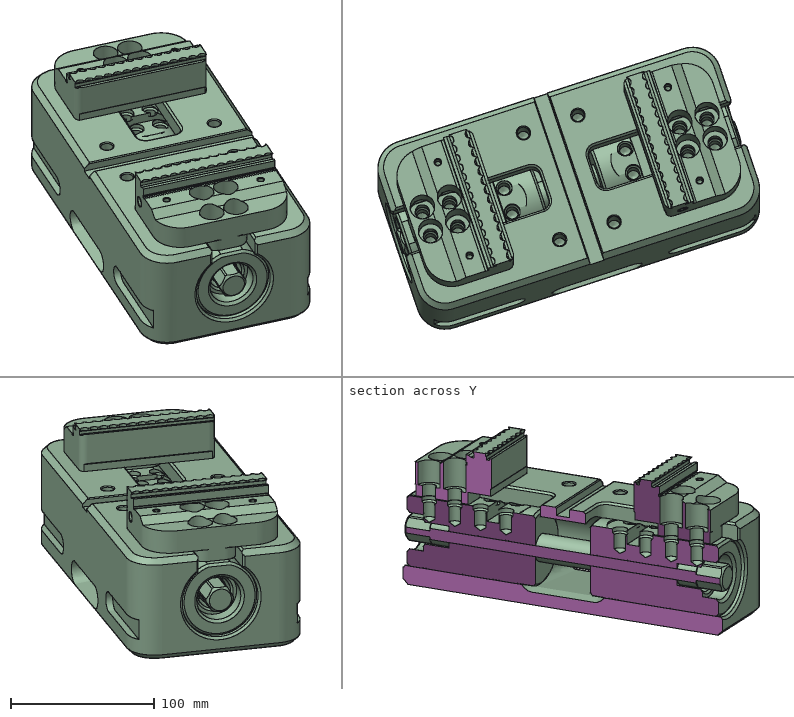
import cadquery as cq
import math


BASE_LENGTH = 250.0
BASE_WIDTH = 125.0
BASE_HEIGHT = 75.0
BASE_CORNER_RADIUS = 20.0
BASE_CHAMFER = 4.0
CENTRE_GROOVE_WIDTH = 10.0
CENTRE_GROOVE_DEPTH = 6.0
CENTRE_GROOVE_CHAMFER = 0.8
GUIDE_SLOT_WIDTH = 32.0
GUIDE_SLOT_INNER_END = 17.8
GUIDE_SLOT_CORNER_RADIUS = 6.5
GUIDE_SLOT_CHAMFER = 1.5
BORE_CHAMFER = 1.8
SIDE_SLOT_HEIGHT = 14.5
SIDE_SLOT_DEPTH = 5.0
SIDE_SLOT_Z = 21.8
SIDE_SLOT_INNER_END = 52.8
CHIP_SLOT_LENGTH = 66.0
CHIP_SLOT_HEIGHT = 17.0
CHIP_SLOT_Z = 12.8
CHIP_SLOT_RISE = 6.2
FIXTURE_HOLE_X = 20.0
FIXTURE_HOLE_Y = 40.0

TAP_DIAMETER = 8.5
TAP_MOUTH_DIAMETER = 10.0
TAP_DEPTH = 15.0
SMALL_TAP_DIAMETER = 4.2
SMALL_TAP_MOUTH_DIAMETER = 5.2
SMALL_TAP_DEPTH = 7.5
SIDE_TAP_DIAMETER = 6.8
SIDE_TAP_MOUTH_DIAMETER = 7.5
SIDE_TAP_DEPTH = 12.5
DRILL_POINT_ANGLE = 118.0

AXIS_Z = 40.0
SLIDE_RADIUS = 27.5
SLIDE_INNER_END = 21.2
SLIDE_OUTER_END = 121.8
SLIDE_CHAMFER = 1.8
SLIDE_FLAT_Z = 66.2
SLIDE_FLAT_INNER_END = 31.8
CROSS_GROOVE_X = 54.8
CROSS_GROOVE_WIDTH = 9.0
CROSS_GROOVE_DEPTH = 10.0
DRIVE_RECESS_DIAMETER = 32.0
DRIVE_RECESS_DEPTH = 12.5
DRIVE_RECESS_CHAMFER = 2.0
SPINDLE_CLEARANCE_DIAMETER = 24.0
SPINDLE_CLEARANCE_DEPTH = 20.0
SPINDLE_CLEARANCE_CHAMFER = 1.5

BOLT_PITCH_X = 20.0
BOLT_PITCH_Y = 18.0
FIRST_BOLT_X = 44.5
BOLT_SEAT_DIAMETER = 11.0
BOLT_SEAT_DEPTH = 3.0
SLIDE_BOLT_ROWS = 4
JAW_BOLT_ROWS = 2

JAW_WIDTH = 98.0
JAW_TOP_Z = 106.0
JAW_FRONT_X = 55.5
JAW_BACK_X = 115.5
JAW_BACK_RADIUS = 20.0
JAW_FRONT_RADIUS = 5.0
JAW_FOOT_RELIEF = 0.8
JAW_FOOT_Z = 81.0
JAW_STEP_Z = 102.8
JAW_SHELF_Z = 96.0
JAW_BACK_Z = 91.5
RAMP_TOP_X = 91.8
RAMP_BOTTOM_X = 98.8
STEP_BACK_X = 75.8
SHELF_RELIEF = 0.8
SHELF_RELIEF_BACK_X = 77.5
GRIP_FRONT_X = 58.8
GRIP_BACK_X = 71.5
GRIP_GROOVE_Z = 101.5
GRIP_NECK_Z = 104.0
GRIP_FRONT_UNDERCUT = 0.8
GRIP_BACK_UNDERCUT = 2.0
GRIP_FRONT_GROOVE_WIDTH = 2.0
GRIP_BACK_GROOVE_WIDTH = 4.0
NOTCH_COUNT = 14
NOTCH_DIAMETER = 6.0
NOTCH_DEPTH = 2.0
KEY_CORNER_RADIUS = 9.8
BOLT_HOLE_DIAMETER = 10.0
COUNTERBORE_DIAMETER = 17.0
COUNTERBORE_FLOOR_Z = 75.0
JAW_SMALL_TAP_Y = 35.0
SIDE_TAP_X = 67.5
SIDE_TAP_Z = 86.5

SPINDLE_DIAMETER = 20.0
SPINDLE_END_X = 124.0
HEX_ACROSS_FLATS = 18.0
HEX_LENGTH = 20.0
HEX_TIP_DIAMETER = 16.0
HEX_TIP_CHAMFER = 2.0

SIDES = (1, -1)


def tapped_hole(diameter, mouth_diameter, depth):
    """Cutter for a countersunk blind hole with a drill point, going down from the origin."""
    radius = diameter / 2
    mouth_radius = mouth_diameter / 2
    mouth_depth = mouth_radius - radius
    point_length = radius / math.tan(math.radians(DRILL_POINT_ANGLE / 2))
    return (
        cq.Workplane("XZ")
        .moveTo(0, 0)
        .lineTo(mouth_radius, 0)
        .lineTo(radius, -mouth_depth)
        .lineTo(radius, -depth)
        .lineTo(0, -depth - point_length)
        .close()
        .revolve(360, (0, 0, 0), (0, 1, 0))
    )


def axial_bar(x_start, x_end, start_radius, end_radius=None):
    """Round bar or cone on the spindle axis."""
    end_radius = start_radius if end_radius is None else end_radius
    return (
        cq.Workplane("XZ")
        .polyline([
            (x_start, AXIS_Z),
            (x_start, AXIS_Z + start_radius),
            (x_end, AXIS_Z + end_radius),
            (x_end, AXIS_Z),
        ])
        .close()
        .revolve(360, (0, AXIS_Z, 0), (1, AXIS_Z, 0))
    )


def guide_slot():
    """Cutter on the +X side for the slot from the top face into the bore, with flared edges."""
    end_x = BASE_LENGTH / 2
    length = end_x + GUIDE_SLOT_CORNER_RADIUS * 2 - GUIDE_SLOT_INNER_END
    depth = BASE_HEIGHT - AXIS_Z
    slot = (
        cq.Workplane("XY")
        .workplane(offset=AXIS_Z)
        .center(GUIDE_SLOT_INNER_END + length / 2, 0)
        .rect(length, GUIDE_SLOT_WIDTH)
        .extrude(depth)
        .edges("|Z")
        .fillet(GUIDE_SLOT_CORNER_RADIUS)
    )
    rim = slot.faces(">Z").wires().val().translate(cq.Vector(0, 0, -GUIDE_SLOT_CHAMFER))
    top_flare = cq.Workplane(cq.Solid.extrudeLinear(
        rim, [], cq.Vector(0, 0, GUIDE_SLOT_CHAMFER), taper=-45
    ))
    half_width = GUIDE_SLOT_WIDTH / 2
    end_flare = (
        cq.Workplane("XY")
        .workplane(offset=AXIS_Z)
        .polyline([
            (end_x - GUIDE_SLOT_CHAMFER, half_width),
            (end_x, half_width + GUIDE_SLOT_CHAMFER),
            (end_x, -half_width - GUIDE_SLOT_CHAMFER),
            (end_x - GUIDE_SLOT_CHAMFER, -half_width),
        ])
        .close()
        .extrude(depth)
    )
    return slot.union(top_flare).union(end_flare)


def side_slot():
    """Cutter for the clamping slot at the +X end of the -Y face, running out of the corner."""
    length = BASE_LENGTH - SIDE_SLOT_INNER_END
    return (
        cq.Workplane("XZ")
        .workplane(offset=BASE_WIDTH / 2 - SIDE_SLOT_DEPTH)
        .center(SIDE_SLOT_INNER_END + length / 2, SIDE_SLOT_Z)
        .slot2D(length, SIDE_SLOT_HEIGHT)
        .extrude(SIDE_SLOT_DEPTH)
    )


def chip_slot():
    """Cutter for the chip outlet, rising from the -Y face to the middle of the base."""
    mouth = (
        cq.Workplane("XZ", origin=(0, -BASE_WIDTH / 2, 0))
        .center(0, CHIP_SLOT_Z)
        .slot2D(CHIP_SLOT_LENGTH, CHIP_SLOT_HEIGHT)
        .wires()
        .val()
    )
    return cq.Workplane(cq.Solid.extrudeLinear(
        mouth, [], cq.Vector(0, BASE_WIDTH / 2, CHIP_SLOT_RISE)
    ))


def make_base():
    base = (
        cq.Workplane("XY")
        .rect(BASE_LENGTH, BASE_WIDTH)
        .extrude(BASE_HEIGHT)
        .edges("|Z")
        .fillet(BASE_CORNER_RADIUS)
        .faces("<Z or >Z")
        .chamfer(BASE_CHAMFER)
    )

    groove_floor = BASE_HEIGHT - CENTRE_GROOVE_DEPTH
    half_groove = CENTRE_GROOVE_WIDTH / 2
    groove = (
        cq.Workplane("XZ")
        .polyline([
            (-half_groove, groove_floor),
            (-half_groove, BASE_HEIGHT - CENTRE_GROOVE_CHAMFER),
            (-half_groove - CENTRE_GROOVE_CHAMFER, BASE_HEIGHT),
            (half_groove + CENTRE_GROOVE_CHAMFER, BASE_HEIGHT),
            (half_groove, BASE_HEIGHT - CENTRE_GROOVE_CHAMFER),
            (half_groove, groove_floor),
        ])
        .close()
        .extrude(BASE_WIDTH / 2, both=True)
    )
    base = base.cut(groove)

    end_x = BASE_LENGTH / 2
    base = base.cut(axial_bar(-end_x, end_x, SLIDE_RADIUS))
    for side in SIDES:
        mouth = axial_bar(
            side * (end_x - BORE_CHAMFER), side * end_x, SLIDE_RADIUS, SLIDE_RADIUS + BORE_CHAMFER
        )
        base = base.cut(mouth)

    right_guide = guide_slot()
    base = base.cut(right_guide).cut(right_guide.mirror("YZ"))
    front_right = side_slot()
    front_pair = front_right.union(front_right.mirror("YZ"))
    front_chip = chip_slot()
    for cutter in (front_pair, front_chip):
        base = base.cut(cutter).cut(cutter.mirror("XZ"))

    hole = tapped_hole(TAP_DIAMETER, TAP_MOUTH_DIAMETER, TAP_DEPTH)
    for x_side in SIDES:
        for y_side in SIDES:
            place = (x_side * FIXTURE_HOLE_X, y_side * FIXTURE_HOLE_Y, BASE_HEIGHT)
            base = base.cut(hole.translate(place))
    return base


def bolt_points(first_row, last_row):
    """Bolt positions of the +X side, with rows counted outward from the middle."""
    return [
        (FIRST_BOLT_X + row * BOLT_PITCH_X, side * BOLT_PITCH_Y / 2)
        for row in range(first_row, last_row)
        for side in SIDES
    ]


def make_slide():
    """Slide of the +X side."""
    slide = axial_bar(SLIDE_INNER_END, SLIDE_OUTER_END, SLIDE_RADIUS)
    slide = slide.faces("<X or >X").chamfer(SLIDE_CHAMFER)

    flat_length = 2 * (SLIDE_OUTER_END - SLIDE_FLAT_INNER_END)
    flat = (
        cq.Workplane("XY")
        .workplane(offset=SLIDE_FLAT_Z)
        .center(SLIDE_FLAT_INNER_END + flat_length / 2, 0)
        .slot2D(flat_length, GUIDE_SLOT_WIDTH)
        .extrude(SLIDE_RADIUS)
    )
    flat_chamfer = (
        cq.Workplane("XZ")
        .polyline([
            (SLIDE_OUTER_END - SLIDE_CHAMFER, SLIDE_FLAT_Z),
            (SLIDE_OUTER_END, SLIDE_FLAT_Z),
            (SLIDE_OUTER_END, SLIDE_FLAT_Z - SLIDE_CHAMFER),
        ])
        .close()
        .extrude(SLIDE_RADIUS, both=True)
    )
    slide = slide.cut(flat).cut(flat_chamfer)

    groove = (
        cq.Workplane("XY")
        .workplane(offset=SLIDE_FLAT_Z - CROSS_GROOVE_DEPTH)
        .center(CROSS_GROOVE_X, 0)
        .rect(CROSS_GROOVE_WIDTH, 2 * SLIDE_RADIUS)
        .extrude(CROSS_GROOVE_DEPTH)
    )
    slide = slide.cut(groove)

    recess_radius = DRIVE_RECESS_DIAMETER / 2
    recess_floor = SLIDE_OUTER_END - DRIVE_RECESS_DEPTH
    clearance_radius = SPINDLE_CLEARANCE_DIAMETER / 2
    bore_steps = [
        axial_bar(SLIDE_INNER_END, SLIDE_OUTER_END, SPINDLE_DIAMETER / 2),
        axial_bar(recess_floor - SPINDLE_CLEARANCE_DEPTH, recess_floor, clearance_radius),
        axial_bar(
            recess_floor - SPINDLE_CLEARANCE_CHAMFER,
            recess_floor,
            clearance_radius,
            clearance_radius + SPINDLE_CLEARANCE_CHAMFER,
        ),
        axial_bar(recess_floor, SLIDE_OUTER_END, recess_radius),
        axial_bar(
            SLIDE_OUTER_END - DRIVE_RECESS_CHAMFER,
            SLIDE_OUTER_END,
            recess_radius,
            recess_radius + DRIVE_RECESS_CHAMFER,
        ),
    ]
    for step in bore_steps:
        slide = slide.cut(step)

    seat_floor = SLIDE_FLAT_Z - BOLT_SEAT_DEPTH
    seat = (
        cq.Workplane("XY")
        .circle(BOLT_SEAT_DIAMETER / 2)
        .extrude(BOLT_SEAT_DEPTH)
    )
    hole = tapped_hole(TAP_DIAMETER, BOLT_SEAT_DIAMETER, TAP_DEPTH - BOLT_SEAT_DEPTH).union(seat)
    for x, y in bolt_points(0, SLIDE_BOLT_ROWS):
        slide = slide.cut(hole.translate((x, y, seat_floor)))
    return slide


def jaw_profile():
    """Side outline of the +X jaw, extruded over the jaw width."""
    foot_x = JAW_FRONT_X + JAW_FOOT_RELIEF
    neck_front_x = GRIP_FRONT_X + GRIP_FRONT_UNDERCUT
    neck_back_x = GRIP_BACK_X - GRIP_BACK_UNDERCUT
    points = [
        (foot_x, BASE_HEIGHT),
        (foot_x, JAW_FOOT_Z - JAW_FOOT_RELIEF),
        (JAW_FRONT_X, JAW_FOOT_Z),
        (JAW_FRONT_X, JAW_STEP_Z),
        (neck_front_x - GRIP_FRONT_GROOVE_WIDTH, JAW_STEP_Z),
        (neck_front_x - GRIP_FRONT_GROOVE_WIDTH, GRIP_GROOVE_Z),
        (neck_front_x, GRIP_GROOVE_Z),
        (neck_front_x, GRIP_NECK_Z),
        (GRIP_FRONT_X, JAW_TOP_Z),
        (GRIP_BACK_X, JAW_TOP_Z),
        (neck_back_x, GRIP_NECK_Z),
        (neck_back_x, GRIP_GROOVE_Z),
        (neck_back_x + GRIP_BACK_GROOVE_WIDTH / 2, GRIP_GROOVE_Z),
        (neck_back_x + GRIP_BACK_GROOVE_WIDTH, JAW_STEP_Z),
        (STEP_BACK_X, JAW_STEP_Z),
        (STEP_BACK_X, JAW_SHELF_Z + SHELF_RELIEF),
        (STEP_BACK_X - SHELF_RELIEF, JAW_SHELF_Z + SHELF_RELIEF),
        (STEP_BACK_X - SHELF_RELIEF, JAW_SHELF_Z - SHELF_RELIEF),
        (SHELF_RELIEF_BACK_X, JAW_SHELF_Z - SHELF_RELIEF),
        (SHELF_RELIEF_BACK_X, JAW_SHELF_Z),
        (RAMP_TOP_X, JAW_SHELF_Z),
        (RAMP_BOTTOM_X, JAW_BACK_Z),
        (JAW_BACK_X, JAW_BACK_Z),
        (JAW_BACK_X, BASE_HEIGHT),
    ]
    return cq.Workplane("XZ").polyline(points).close().extrude(JAW_WIDTH / 2, both=True)


def jaw_footprint():
    """Plan outline of the +X jaw: small radii in front, large radii behind."""
    return (
        cq.Workplane("XY")
        .workplane(offset=BASE_HEIGHT)
        .center((JAW_FRONT_X + JAW_BACK_X) / 2, 0)
        .rect(JAW_BACK_X - JAW_FRONT_X, JAW_WIDTH)
        .extrude(JAW_TOP_Z - BASE_HEIGHT)
        .edges("|Z and >X")
        .fillet(JAW_BACK_RADIUS)
        .edges("|Z and <X")
        .fillet(JAW_FRONT_RADIUS)
    )


def grip_notches():
    """Cutters for the round notches along both overhanging edges of the grip."""
    pitch = JAW_WIDTH / NOTCH_COUNT
    offset = NOTCH_DIAMETER / 2 - NOTCH_DEPTH
    points = [
        (x, (index + 0.5) * pitch - JAW_WIDTH / 2)
        for x in (GRIP_FRONT_X - offset, GRIP_BACK_X + offset)
        for index in range(NOTCH_COUNT)
    ]
    return (
        cq.Workplane("XY")
        .workplane(offset=GRIP_NECK_Z)
        .pushPoints(points)
        .circle(NOTCH_DIAMETER / 2)
        .extrude(JAW_TOP_Z - GRIP_NECK_Z)
    )


def make_jaw():
    """Jaw of the +X side, with its tapped side hole in the -Y end."""
    jaw = jaw_profile().intersect(jaw_footprint()).cut(grip_notches())

    jaw_bolts = bolt_points(SLIDE_BOLT_ROWS - JAW_BOLT_ROWS, SLIDE_BOLT_ROWS)
    key_x = sum(x for x, y in jaw_bolts) / len(jaw_bolts)
    key = (
        cq.Workplane("XY")
        .workplane(offset=SLIDE_FLAT_Z)
        .center(key_x, 0)
        .rect(2 * (JAW_BACK_X - key_x), GUIDE_SLOT_WIDTH)
        .extrude(BASE_HEIGHT - SLIDE_FLAT_Z)
        .edges("|Z")
        .fillet(KEY_CORNER_RADIUS)
    )
    jaw = jaw.union(key)

    through_holes = (
        cq.Workplane("XY")
        .workplane(offset=SLIDE_FLAT_Z)
        .pushPoints(jaw_bolts)
        .circle(BOLT_HOLE_DIAMETER / 2)
        .extrude(JAW_TOP_Z - SLIDE_FLAT_Z)
    )
    counterbores = (
        cq.Workplane("XY")
        .workplane(offset=COUNTERBORE_FLOOR_Z)
        .pushPoints(jaw_bolts)
        .circle(COUNTERBORE_DIAMETER / 2)
        .extrude(JAW_TOP_Z - COUNTERBORE_FLOOR_Z)
    )
    jaw = jaw.cut(through_holes).cut(counterbores)

    small_tap = tapped_hole(SMALL_TAP_DIAMETER, SMALL_TAP_MOUTH_DIAMETER, SMALL_TAP_DEPTH)
    for side in SIDES:
        jaw = jaw.cut(small_tap.translate((jaw_bolts[0][0], side * JAW_SMALL_TAP_Y, JAW_SHELF_Z)))

    side_tap = tapped_hole(SIDE_TAP_DIAMETER, SIDE_TAP_MOUTH_DIAMETER, SIDE_TAP_DEPTH)
    side_tap = side_tap.rotate((0, 0, 0), (1, 0, 0), 90)
    return jaw.cut(side_tap.translate((SIDE_TAP_X, -JAW_WIDTH / 2, SIDE_TAP_Z)))


def hex_end():
    """Hexagonal drive of the +X spindle end, turned to the shaft diameter with a chamfered tip."""
    hex_start = SPINDLE_END_X - HEX_LENGTH
    across_corners = HEX_ACROSS_FLATS / math.cos(math.pi / 6)
    spindle_radius = SPINDLE_DIAMETER / 2
    hexagon = (
        cq.Workplane("YZ", origin=(hex_start, 0, AXIS_Z))
        .polygon(6, across_corners)
        .extrude(HEX_LENGTH)
    )
    tip_start = SPINDLE_END_X - HEX_TIP_CHAMFER
    envelope = axial_bar(hex_start, tip_start, spindle_radius).union(
        axial_bar(tip_start, SPINDLE_END_X, spindle_radius, HEX_TIP_DIAMETER / 2)
    )
    return hexagon.intersect(envelope)


def make_spindle():
    shaft_end = SPINDLE_END_X - HEX_LENGTH
    right_hex = hex_end()
    return (
        axial_bar(-shaft_end, shaft_end, SPINDLE_DIAMETER / 2)
        .union(right_hex)
        .union(right_hex.mirror("YZ"))
    )


base = make_base()
spindle = make_spindle()
right_slide = make_slide()
right_jaw = make_jaw()
bodies = [base.solids().val(), spindle.solids().val()]
for turn in (0, 180):
    for moving_body in (right_slide, right_jaw):
        bodies.append(moving_body.rotate((0, 0, 0), (0, 0, 1), turn).solids().val())

result = cq.Compound.makeCompound(bodies)